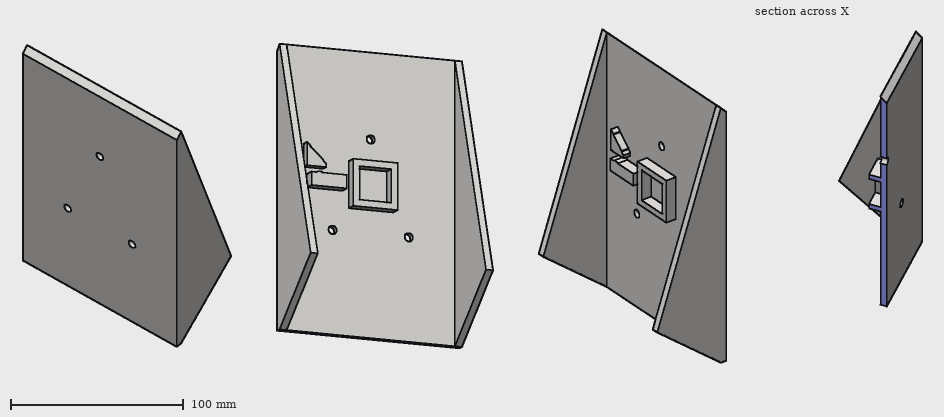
import cadquery as cq

WIDTH = 115.0
DEPTH = 50.0
HEIGHT = 170.0
CHEEK_THICKNESS = 4.5
PLATE_THICKNESS = 4.0

BEVEL_HEIGHT = PLATE_THICKNESS
REAR_CORNER_Z = 35.8

HOLE_DIAMETER = 5.0
UPPER_HOLE_Z = 118.2
LOWER_HOLE_Z = 62.2
LOWER_HOLE_SPACING = 48.0

TALL_RELIEF = 7.0
LOW_RELIEF = 5.0
DETAIL_Z = 90.0

FRAME_WIDTH = 28.0
FRAME_HEIGHT = 28.0
FRAME_WALL = 4.0

BAR_LEFT = 18.0
BAR_RIGHT = 40.3
BAR_HEIGHT = 8.0
CROWN_LEFT = 33.1
CROWN_RIGHT = 37.1
CROWN_RISE = 0.65

RAMP_LEFT = 30.2
RAMP_RIGHT = 42.3
RAMP_STEPS = (32.0, 40.0)
RAMP_STEP_RISE = 0.5
RAMP_GAP = 4.0
RAMP_BASE = 2.0
RAMP_SLOPE = 0.9


def extrude_rearward(outline, start_y, length):
    """Extrude an outline given in X and Z toward +Y, starting at start_y."""
    return outline.extrude(-length).translate((0, start_y, 0))


def side_prism(width):
    """Full side outline swept across the given width, centred on X = 0."""
    return (
        cq.Workplane("YZ")
        .polyline([
            (0, 0),
            (PLATE_THICKNESS, 0),
            (DEPTH, REAR_CORNER_Z),
            (PLATE_THICKNESS, HEIGHT),
            (0, HEIGHT - BEVEL_HEIGHT),
        ])
        .close()
        .extrude(width / 2, both=True)
    )


def stand():
    """Plate and cheeks: the side prism with the space behind the plate removed."""
    inner_width = WIDTH - 2 * CHEEK_THICKNESS
    cavity = cq.Workplane("XY").box(inner_width, DEPTH, HEIGHT, centered=(True, False, False))
    return side_prism(WIDTH).cut(cavity.translate((0, PLATE_THICKNESS, 0)))


def mounting_hole(x, z):
    return extrude_rearward(cq.Workplane("XZ").center(x, z).circle(HOLE_DIAMETER / 2), 0, PLATE_THICKNESS)


def frame():
    """Rectangular frame, open to the plate in the middle."""
    opening_width = FRAME_WIDTH - 2 * FRAME_WALL
    opening_height = FRAME_HEIGHT - 2 * FRAME_WALL
    outline = (
        cq.Workplane("XZ")
        .center(0, DETAIL_Z)
        .rect(FRAME_WIDTH, FRAME_HEIGHT)
        .rect(opening_width, opening_height)
    )
    return extrude_rearward(outline, PLATE_THICKNESS, TALL_RELIEF)


def crowned_bar():
    """Flat bar with a short rounded crown on its upper edge."""
    bottom = DETAIL_Z - BAR_HEIGHT / 2
    top = DETAIL_Z + BAR_HEIGHT / 2
    outline = (
        cq.Workplane("XZ")
        .moveTo(BAR_LEFT, bottom)
        .lineTo(BAR_RIGHT, bottom)
        .lineTo(BAR_RIGHT, top)
        .lineTo(CROWN_RIGHT, top)
        .threePointArc(((CROWN_LEFT + CROWN_RIGHT) / 2, top + CROWN_RISE), (CROWN_LEFT, top))
        .lineTo(BAR_LEFT, top)
        .close()
    )
    return extrude_rearward(outline, PLATE_THICKNESS, TALL_RELIEF)


def stepped_ramp():
    """Low block above the bar; its top climbs toward +X in three parallel stretches."""
    bottom = DETAIL_Z + BAR_HEIGHT / 2 + RAMP_GAP
    edges = (RAMP_LEFT, *RAMP_STEPS, RAMP_RIGHT)
    outline = cq.Workplane("XZ").moveTo(RAMP_RIGHT, bottom).lineTo(RAMP_LEFT, bottom)
    for step, (left, right) in enumerate(zip(edges, edges[1:])):
        lift = bottom + RAMP_BASE + step * RAMP_STEP_RISE
        outline = outline.lineTo(left, lift + RAMP_SLOPE * (left - RAMP_LEFT))
        outline = outline.lineTo(right, lift + RAMP_SLOPE * (right - RAMP_LEFT))
    return extrude_rearward(outline.close(), PLATE_THICKNESS, LOW_RELIEF)


result = stand()

for detail in (frame(), crowned_bar(), stepped_ramp()):
    result = result.union(detail)

result = result.cut(mounting_hole(0, UPPER_HOLE_Z))
for side in (-1, 1):
    result = result.cut(mounting_hole(side * LOWER_HOLE_SPACING / 2, LOWER_HOLE_Z))